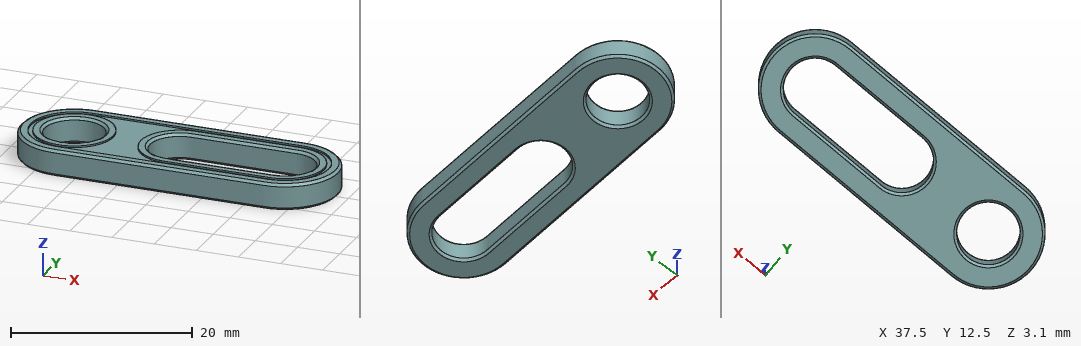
import cadquery as cq

length = 37.5
thickness = 3.1
end_radius = length / 6
opening_width = 7.0
collar_diameter = 9.2
rim_width = 1.12
recess_depth = 0.2
edge_chamfer = 0.3

end_center = length / 2 - end_radius
hole_center = -end_center
slot_start = 0.0
slot_end = end_center


def rounded_bar(start, end, diameter, bottom, height):
    """Upright prism, round at both ends, whose end arcs are centred on X = start and X = end."""
    span = end - start
    return (
        cq.Workplane("XY", origin=((start + end) / 2, 0, bottom))
        .slot2D(span + diameter, diameter)
        .extrude(height)
    )


def round_post(center, diameter, bottom, height):
    """Upright cylinder centred on X = center."""
    return cq.Workplane("XY", origin=(center, 0, bottom)).circle(diameter / 2).extrude(height)


def chamfer_ends(body):
    """Bevel the top and bottom edges of a prism-shaped body."""
    return body.faces("<Z or >Z").edges().chamfer(edge_chamfer)


plate = rounded_bar(-end_center, end_center, 2 * end_radius, 0, thickness)
plate = plate.cut(round_post(hole_center, opening_width, 0, thickness))
plate = plate.cut(rounded_bar(slot_start, slot_end, opening_width, 0, thickness))
plate = chamfer_ends(plate)

floor = thickness - recess_depth
recess_diameter = 2 * (end_radius - rim_width)
recess = rounded_bar(-end_center, end_center, recess_diameter, floor, recess_depth)
recess = recess.cut(round_post(hole_center, collar_diameter, floor, recess_depth))
recess = recess.cut(rounded_bar(slot_start, slot_end, collar_diameter, floor, recess_depth))

result = plate.cut(recess)